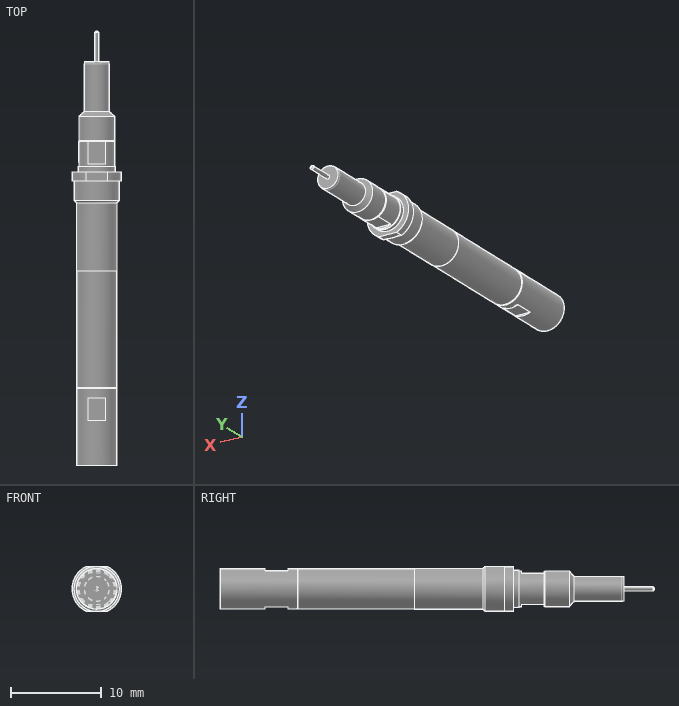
import cadquery as cq

HEAD_END = 8.55
BARREL_END = 21.5
COLLAR_START = 29.05
FLANGE_START = 31.45
FLANGE_END = 32.45
RING_END = 33.0
NECK_END = 35.8
SHOULDER_END = 38.6
ROD_START = 39.1
ROD_END = 44.65
TOTAL_LENGTH = 48.0

BARREL_D = 4.45
SLEEVE_D = 4.5
COLLAR_D = 5.0
FLANGE_D = 5.45
RING_D = 4.15
NECK_D = 4.0
ROD_D = 2.8
PIN_D = 0.5

BARREL_CHAMFER = 0.1
COLLAR_CHAMFER = 0.25
NECK_GROOVE_WIDTH = 0.1
NECK_GROOVE_D = 3.9
ROD_CHAMFER_LENGTH = 0.3
ROD_CHAMFER_DEPTH = 0.05
PIN_CHAMFER = 0.15

FLAT_LENGTH = 2.5
HEAD_FLAT_START = 5.0
HEAD_ACROSS_FLATS = 4.05
NECK_ACROSS_FLATS = 3.5
FLANGE_ACROSS_FLATS = 4.95


def turned_body():
    """Revolve the stepped half profile (radius along X) about the Y axis."""
    barrel_chamfer_end = HEAD_END + BARREL_CHAMFER
    collar_chamfer_end = COLLAR_START + COLLAR_CHAMFER
    shoulder_start = NECK_END + NECK_GROOVE_WIDTH
    profile = (
        cq.Workplane("XY")
        .lineTo(BARREL_D / 2, 0)
        .lineTo(BARREL_D / 2, HEAD_END)
        .lineTo(BARREL_D / 2 - BARREL_CHAMFER, HEAD_END)
        .lineTo(BARREL_D / 2, barrel_chamfer_end)
        .lineTo(BARREL_D / 2, BARREL_END)
        .lineTo(SLEEVE_D / 2, BARREL_END)
        .lineTo(SLEEVE_D / 2, COLLAR_START)
        .lineTo(COLLAR_D / 2, collar_chamfer_end)
        .lineTo(COLLAR_D / 2, FLANGE_START)
        .lineTo(FLANGE_D / 2, FLANGE_START)
        .lineTo(FLANGE_D / 2, FLANGE_END)
        .lineTo(RING_D / 2, FLANGE_END)
        .lineTo(RING_D / 2, RING_END)
        .lineTo(NECK_D / 2, RING_END)
        .lineTo(NECK_D / 2, NECK_END)
        .lineTo(NECK_GROOVE_D / 2, NECK_END)
        .lineTo(NECK_GROOVE_D / 2, shoulder_start)
        .lineTo(NECK_D / 2, shoulder_start)
        .lineTo(NECK_D / 2, SHOULDER_END)
        .lineTo(ROD_D / 2, ROD_START)
        .lineTo(ROD_D / 2, ROD_END - ROD_CHAMFER_LENGTH)
        .lineTo(ROD_D / 2 - ROD_CHAMFER_DEPTH, ROD_END)
        .lineTo(PIN_D / 2, ROD_END)
        .lineTo(PIN_D / 2, TOTAL_LENGTH - PIN_CHAMFER)
        .lineTo(PIN_D / 2 - PIN_CHAMFER, TOTAL_LENGTH)
        .lineTo(0, TOTAL_LENGTH)
        .close()
    )
    return profile.revolve(360, (0, 0, 0), (0, 1, 0))


def cut_flats(body, start, length, across):
    """Cut two flats, a distance 'across' apart in Z, over one stretch of the length."""
    middle = start + length / 2
    for side in (1, -1):
        block = cq.Workplane("XY").box(FLANGE_D, length, FLANGE_D)
        body = body.cut(block.translate((0, middle, side * (across + FLANGE_D) / 2)))
    return body


result = turned_body()
result = cut_flats(result, HEAD_FLAT_START, FLAT_LENGTH, HEAD_ACROSS_FLATS)
result = cut_flats(result, FLANGE_START, FLANGE_END - FLANGE_START, FLANGE_ACROSS_FLATS)
result = cut_flats(result, NECK_END - FLAT_LENGTH, FLAT_LENGTH, NECK_ACROSS_FLATS)